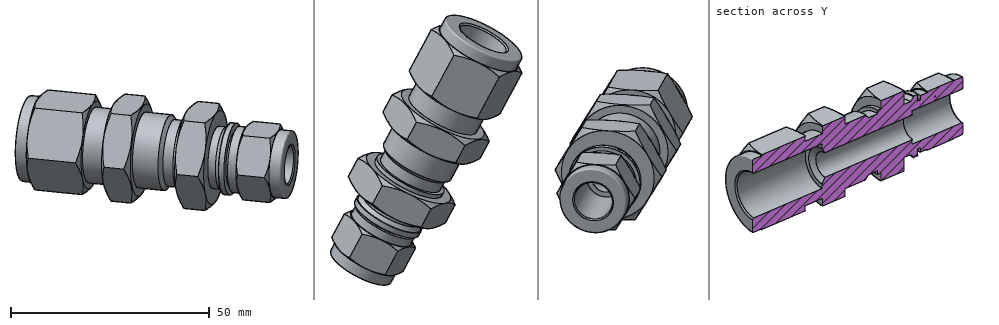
import cadquery as cq
import math

LENGTH = 68.7
CHAMFER_ANGLE = math.radians(30)

LARGE_NUT_START, LARGE_NUT_END, LARGE_NUT_FLATS = 3.0, 17.3, 22.2
LOCK_NUT_START, LOCK_NUT_END, BODY_FLATS = 22.8, 30.3, 23.8
BODY_HEX_START, BODY_HEX_END = 41.9, 49.5
SMALL_NUT_START, SMALL_NUT_END, SMALL_NUT_FLATS = 57.0, 65.6, 17.45
LOCK_NUT_FACE_DIAMETER = 23.35

LARGE_COLLAR_DIAMETER = 21.8
SMALL_COLLAR_DIAMETER = 17.2
COLLAR_ROUND = 0.4

BODY_DIAMETER = 19.25
THREAD_END = 37.0
RELIEF_DIAMETER = 17.0
RELIEF_START = 37.9
SEAL_RING_START = 40.8
SEAL_RING_DIAMETER = 19.0

NECK_DIAMETER = 15.8
FLARE_START = 51.45
FLARE_END_DIAMETER = 17.7
RING_START, RING_END = 52.55, 54.0
RING_DIAMETER = 18.3
GROOVE_DIAMETER = 14.3
SKIRT_START = 54.75
SKIRT_DIAMETER = 16.8

THROUGH_DIAMETER = 7.15
LARGE_BORE_DIAMETER = 13.05
LARGE_BORE_DEPTH = 22.7
LARGE_MOUTH_DIAMETER = 13.9
SEAT_DIAMETER = 10.45
SEAT_HALF_ANGLE = math.radians(60)
SMALL_BORE_DIAMETER = 9.75
SMALL_BORE_DEPTH = 16.5
SMALL_MOUTH_DIAMETER = 10.45


def cylinder(start, end, diameter):
    return cq.Workplane("YZ", origin=(start, 0, 0)).circle(diameter / 2).extrude(end - start)


def cone(start, end, start_diameter, end_diameter):
    profile = [(start, 0), (start, start_diameter / 2), (end, end_diameter / 2), (end, 0)]
    return cq.Workplane("XY").polyline(profile).close().revolve(360, (0, 0), (1, 0))


def hexagon(start, end, flats, face_diameter):
    """Hexagon with flats facing +-Z and corners turned down to a round face at each end."""
    corner_diameter = flats / math.cos(math.radians(30))
    prism = cq.Workplane("YZ", origin=(start, 0, 0)).polygon(6, corner_diameter).extrude(end - start)
    chamfer_depth = (corner_diameter - face_diameter) / 2 * math.tan(CHAMFER_ANGLE)
    envelope = (
        cone(start, start + chamfer_depth, face_diameter, corner_diameter)
        .union(cylinder(start + chamfer_depth, end - chamfer_depth, corner_diameter))
        .union(cone(end - chamfer_depth, end, corner_diameter, face_diameter))
    )
    return prism.intersect(envelope)


def tube_nuts():
    large_collar = cylinder(0, LARGE_NUT_START, LARGE_COLLAR_DIAMETER)
    large_collar = large_collar.faces("<X").edges().fillet(COLLAR_ROUND)
    small_collar = cylinder(SMALL_NUT_END, LENGTH, SMALL_COLLAR_DIAMETER)
    small_collar = small_collar.faces(">X").edges().fillet(COLLAR_ROUND)
    large_hex = hexagon(LARGE_NUT_START, LARGE_NUT_END, LARGE_NUT_FLATS, LARGE_NUT_FLATS)
    small_hex = hexagon(SMALL_NUT_START, SMALL_NUT_END, SMALL_NUT_FLATS, SMALL_NUT_FLATS)
    return large_collar.union(large_hex).union(small_hex).union(small_collar)


def body():
    lock_nut = hexagon(LOCK_NUT_START, LOCK_NUT_END, BODY_FLATS, LOCK_NUT_FACE_DIAMETER)
    return (
        cylinder(LARGE_NUT_END, THREAD_END, BODY_DIAMETER)
        .union(lock_nut)
        .union(cone(THREAD_END, RELIEF_START, BODY_DIAMETER, RELIEF_DIAMETER))
        .union(cylinder(RELIEF_START, SEAL_RING_START, RELIEF_DIAMETER))
        .union(cylinder(SEAL_RING_START, BODY_HEX_START, SEAL_RING_DIAMETER))
        .union(hexagon(BODY_HEX_START, BODY_HEX_END, BODY_FLATS, BODY_FLATS))
    )


def small_end_neck():
    return (
        cylinder(BODY_HEX_END, FLARE_START, NECK_DIAMETER)
        .union(cone(FLARE_START, RING_START, NECK_DIAMETER, FLARE_END_DIAMETER))
        .union(cylinder(RING_START, RING_END, RING_DIAMETER))
        .union(cylinder(RING_END, SKIRT_START, GROOVE_DIAMETER))
        .union(cylinder(SKIRT_START, SMALL_NUT_START, SKIRT_DIAMETER))
    )


def bores():
    large_mouth_depth = (LARGE_MOUTH_DIAMETER - LARGE_BORE_DIAMETER) / 2
    small_mouth_depth = (SMALL_MOUTH_DIAMETER - SMALL_BORE_DIAMETER) / 2
    seat_depth = (SEAT_DIAMETER - THROUGH_DIAMETER) / 2 / math.tan(SEAT_HALF_ANGLE)
    return (
        cylinder(0, LENGTH, THROUGH_DIAMETER)
        .union(cone(0, large_mouth_depth, LARGE_MOUTH_DIAMETER, LARGE_BORE_DIAMETER))
        .union(cylinder(0, LARGE_BORE_DEPTH, LARGE_BORE_DIAMETER))
        .union(cone(LARGE_BORE_DEPTH, LARGE_BORE_DEPTH + seat_depth, SEAT_DIAMETER, THROUGH_DIAMETER))
        .union(cylinder(LENGTH - SMALL_BORE_DEPTH, LENGTH, SMALL_BORE_DIAMETER))
        .union(cone(LENGTH - small_mouth_depth, LENGTH, SMALL_BORE_DIAMETER, SMALL_MOUTH_DIAMETER))
    )


result = tube_nuts().union(body()).union(small_end_neck()).cut(bores()).translate((-LENGTH / 2, 0, 0))